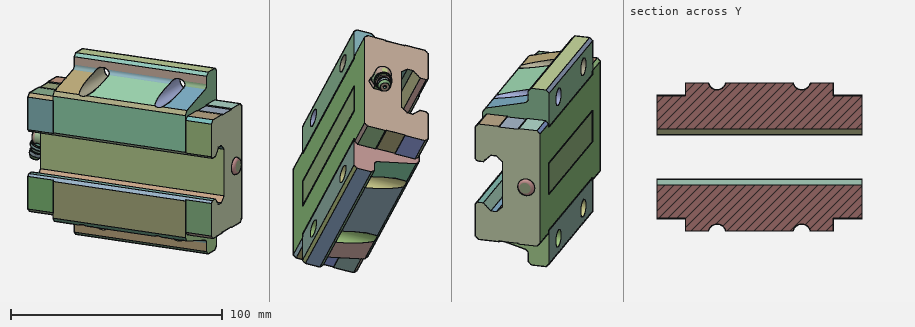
import cadquery as cq
import math


BLOCK_LENGTH = 70.0
HALF_WIDTH = 45.0
HEIGHT = 33.0
BACK_CHAMFER = 1.5
FLANGE_THICKNESS = 10.4
FLANGE_CHAMFER = 1.6
FLANK_ROOT_Z = 37.72
FLANK_ANGLE = 14.5
FLANK_ROOT_RADIUS = 2.1
FLANK_EDGE_CHAMFER_START = 31.4
FLANK_EDGE_Z = 30.2

RELIEF_INNER_Z = 7.9
RELIEF_OUTER_Z = 26.3

HOLE_DIAMETER = 8.38
HOLE_SPACING_X = 40.0
HOLE_SPACING_Z = 72.0

TOTAL_LENGTH = 97.0
CAP_BACK = 0.35
CAP_FRONT = 32.5
CAP_HALF_WIDTH = 29.4
CAP_BACK_CHAMFER = 1.5
CAP_FRONT_CHAMFER = 1.7
CAP_DIP = 0.35
CAP_DIP_START = 10.8
CAP_DIP_END = 20.7
CAP_DIP_RAMP = 0.6

SLOT_FLOOR = 19.0
SLOT_FLOOR_HALF = 11.5
SLOT_WIDE_HALF = 14.15
SLOT_WIDE_START = 21.9
SLOT_WIDE_END = 24.7
SLOT_LIP_HALF = 10.45
SLOT_LIP_START = 28.4
SLOT_LIP_END = 31.4

PORT_DEPTH = 7.15
HEX_ACROSS_FLATS = 8.0
HEX_THICKNESS = 1.9
HEX_CORNER_CHAMFER = 0.25
ELBOW_DIAMETER = 7.85
ELBOW_LENGTH = 9.5
ELBOW_ROUND = 2.5
TIP_ANGLE = 21.0
TIP_ORIGIN = 5.16
TIP_SHANK_RADIUS = 3.3
TIP_COLLAR_RADIUS = 8.38 / 2
TIP_COLLAR_START = 3.5
TIP_COLLAR_FULL = 3.9
TIP_COLLAR_TAPER = 5.2
TIP_COLLAR_END = 5.7
TIP_COLLAR_EDGE_RADIUS = 3.7
TIP_NECK_RADIUS = 5.5 / 2
TIP_HEAD_START = 7.3
TIP_HEAD_FULL = 7.6
TIP_HEAD_RADIUS = 6.6 / 2
TIP_HEAD_TAPER = 9.5
TIP_HEAD_TAPER_RADIUS = 3.1
TIP_LENGTH = 11.2
TIP_END_RADIUS = 2.2
TIP_BORE_DIAMETER = 1.4
TIP_BORE_DEPTH = 2.0
PLUG_DIAMETER = 8.38
PLUG_HEIGHT = 1.7
PLUG_FLAT_DIAMETER = 5.5


def prism(half_outline, length):
    """Extrude along X a section given as (depth below Y = 0, +Z) points, mirrored in Z."""
    upper = [(-depth, z) for depth, z in half_outline]
    lower = [(y, -z) for y, z in reversed(upper)]
    section = cq.Workplane("YZ").polyline(upper + lower).close()
    return section.extrude(length / 2, both=True)


def make_block():
    slope = math.tan(math.radians(FLANK_ANGLE))
    flank_end_z = FLANK_ROOT_Z - (FLANK_EDGE_CHAMFER_START - FLANGE_THICKNESS) * slope
    block = prism([
        (0, HALF_WIDTH - BACK_CHAMFER),
        (BACK_CHAMFER, HALF_WIDTH),
        (FLANGE_THICKNESS - FLANGE_CHAMFER, HALF_WIDTH),
        (FLANGE_THICKNESS, HALF_WIDTH - FLANGE_CHAMFER),
        (FLANGE_THICKNESS, FLANK_ROOT_Z),
        (FLANK_EDGE_CHAMFER_START, flank_end_z),
        (HEIGHT, FLANK_EDGE_Z),
    ], BLOCK_LENGTH)
    for side in (1, -1):
        root = cq.selectors.NearestToPointSelector((0, -FLANGE_THICKNESS, side * FLANK_ROOT_Z))
        block = block.edges(root).fillet(FLANK_ROOT_RADIUS)
    relief_width = RELIEF_OUTER_Z - RELIEF_INNER_Z
    relief_centre = (RELIEF_OUTER_Z + RELIEF_INNER_Z) / 2
    for side in (1, -1):
        relief = cq.Workplane("XY").box(BLOCK_LENGTH, 2 * CAP_BACK, relief_width)
        block = block.cut(relief.translate((0, 0, side * relief_centre)))
    return block


def make_end_caps():
    """Both caps as one full-length bar; its middle lies within the block."""
    dip_half_width = CAP_HALF_WIDTH - CAP_DIP
    return prism([
        (CAP_BACK, CAP_HALF_WIDTH - CAP_BACK_CHAMFER),
        (CAP_BACK + CAP_BACK_CHAMFER, CAP_HALF_WIDTH),
        (CAP_DIP_START, CAP_HALF_WIDTH),
        (CAP_DIP_START + CAP_DIP_RAMP, dip_half_width),
        (CAP_DIP_END, dip_half_width),
        (CAP_DIP_END, CAP_HALF_WIDTH),
        (CAP_FRONT - CAP_FRONT_CHAMFER, CAP_HALF_WIDTH),
        (CAP_FRONT, CAP_HALF_WIDTH - CAP_FRONT_CHAMFER),
    ], TOTAL_LENGTH)


def make_rail_slot():
    flare = HEIGHT - SLOT_LIP_END
    return prism([
        (SLOT_FLOOR, SLOT_FLOOR_HALF),
        (SLOT_WIDE_START, SLOT_WIDE_HALF),
        (SLOT_WIDE_END, SLOT_WIDE_HALF),
        (SLOT_LIP_START, SLOT_LIP_HALF),
        (SLOT_LIP_END, SLOT_LIP_HALF),
        (HEIGHT, SLOT_LIP_HALF + flare),
    ], TOTAL_LENGTH)


def make_mounting_holes():
    return (
        cq.Workplane("XZ")
        .rarray(HOLE_SPACING_X, HOLE_SPACING_Z, 2, 2)
        .circle(HOLE_DIAMETER / 2)
        .extrude(HEIGHT)
    )


def make_tip():
    """Turned grease tip along +Z from its origin, profile given as (radius, height)."""
    tip = cq.Workplane("XZ").polyline([
        (0, 0),
        (TIP_SHANK_RADIUS, 0),
        (TIP_SHANK_RADIUS, TIP_COLLAR_START),
        (TIP_COLLAR_EDGE_RADIUS, TIP_COLLAR_START),
        (TIP_COLLAR_RADIUS, TIP_COLLAR_FULL),
        (TIP_COLLAR_RADIUS, TIP_COLLAR_TAPER),
        (TIP_COLLAR_EDGE_RADIUS, TIP_COLLAR_END),
        (TIP_NECK_RADIUS, TIP_COLLAR_END),
        (TIP_NECK_RADIUS, TIP_HEAD_START),
        (TIP_HEAD_RADIUS, TIP_HEAD_FULL),
        (TIP_HEAD_TAPER_RADIUS, TIP_HEAD_TAPER),
        (TIP_END_RADIUS, TIP_LENGTH),
        (0, TIP_LENGTH),
    ]).close().revolve(360, (0, 0), (0, 1))
    return tip.faces(">Z").workplane().hole(TIP_BORE_DIAMETER, TIP_BORE_DEPTH)


def make_nipple():
    cap_face = -TOTAL_LENGTH / 2
    face = cq.Workplane("YZ", origin=(cap_face, -PORT_DEPTH, 0))
    across_corners = HEX_ACROSS_FLATS / math.cos(math.pi / 6)
    hexagon = face.polygon(6, across_corners).extrude(-HEX_THICKNESS)
    blank = face.circle(across_corners / 2).extrude(-HEX_THICKNESS)
    hexagon = hexagon.intersect(blank.faces("<X").edges().chamfer(HEX_CORNER_CHAMFER))
    elbow = face.circle(ELBOW_DIAMETER / 2).extrude(-ELBOW_LENGTH)
    elbow = elbow.faces("<X").edges().fillet(ELBOW_ROUND)
    tip = make_tip().rotate((0, 0, 0), (0, 1, 0), 180 + TIP_ANGLE)
    tip = tip.translate((cap_face - TIP_ORIGIN, -PORT_DEPTH, 0))
    return hexagon.union(elbow).union(tip)


def make_plug():
    """Domed plug: a flat disc whose rim curves down to meet the cap face squarely."""
    rim = PLUG_DIAMETER / 2
    flat = PLUG_FLAT_DIAMETER / 2
    overhang = rim - flat
    dome_radius = (overhang**2 + PLUG_HEIGHT**2) / (2 * overhang)
    half_angle = math.asin(PLUG_HEIGHT / dome_radius) / 2
    dome_middle = (
        dome_radius * math.sin(half_angle),
        rim - dome_radius * (1 - math.cos(half_angle)),
    )
    profile = (
        cq.Workplane("XY")
        .lineTo(0, rim)
        .threePointArc(dome_middle, (PLUG_HEIGHT, flat))
        .lineTo(PLUG_HEIGHT, 0)
        .close()
    )
    plug = profile.revolve(360, (0, 0), (1, 0))
    return plug.translate((TOTAL_LENGTH / 2, -PORT_DEPTH, 0))


carriage = make_block().union(make_end_caps())
carriage = carriage.cut(make_rail_slot()).cut(make_mounting_holes())
result = carriage.union(make_nipple()).union(make_plug())